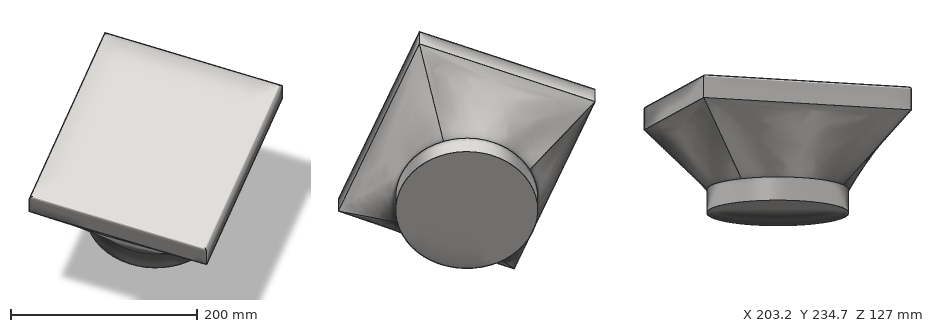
import cadquery as cq

head_length_x = 203.2
head_length_y = 234.7
head_height = 25.4
head_edge_radius = 3.2

collar_diameter = 152.4
collar_height = 25.4

total_height = 127.0
transition_height = total_height - head_height - collar_height


def make_collar():
    """Solid round collar standing on the XY plane."""
    return cq.Workplane("XY").circle(collar_diameter / 2).extrude(collar_height)


def make_transition():
    """Round-to-rectangular loft between the collar and the head."""
    return (
        cq.Workplane("XY")
        .workplane(offset=collar_height)
        .circle(collar_diameter / 2)
        .workplane(offset=transition_height)
        .rect(head_length_x, head_length_y)
        .loft()
    )


def make_head():
    """Rectangular slab with its top edges rounded."""
    return (
        cq.Workplane("XY")
        .workplane(offset=total_height - head_height)
        .rect(head_length_x, head_length_y)
        .extrude(head_height)
        .faces(">Z")
        .edges()
        .fillet(head_edge_radius)
    )


result = make_collar().union(make_transition()).union(make_head())